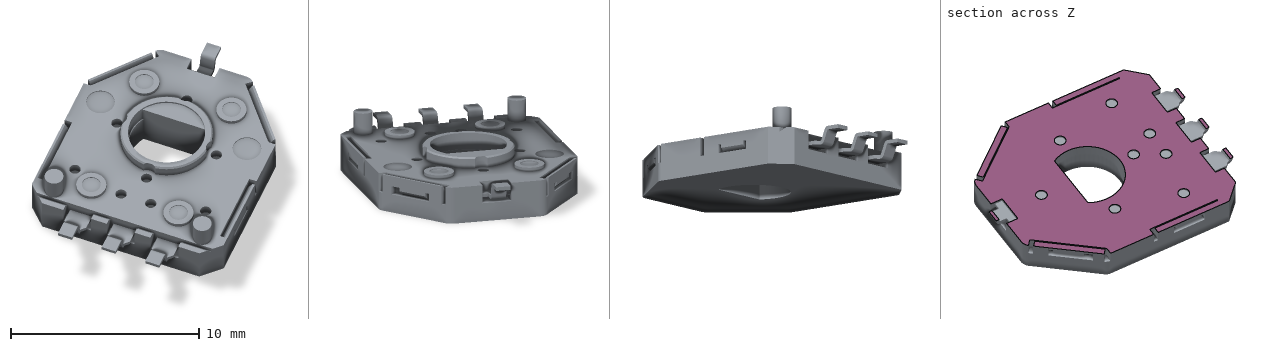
import cadquery as cq
import math


HALF_WIDTH = 5.5
REAR_Y = 5.5
FRONT_Y = -6.5
BODY_HEIGHT = 2.0
FRONT_CHAMFER = 1.0
REAR_CORNER = (2.63, REAR_Y)
SIDE_CORNER = (HALF_WIDTH, 2.0)
REAR_CORNER_RADIUS = 0.6
SIDE_CORNER_RADIUS = 0.5
CUT_MARGIN = 1.0

GROOVE_WALL_Y = -5.95
GROOVE_DEPTH = 0.25

COLLAR_RADIUS = 2.45
COLLAR_TOP = 2.6
COLLAR_CHAMFER = 0.08
COLLAR_BORE_RADIUS = 2.05
ROTOR_BORE_RADIUS = 2.0
ROTOR_STEP_Z = 1.7
FLAT_Y = 1.0
FLAT_TOP = 2.5

SMALL_HOLE_RADIUS = 0.3
SMALL_HOLE_DEPTH = 0.5
COLLAR_HOLE_OFFSET = 2.85
COLLAR_RELIEF_RADIUS = 0.55
OUTER_HOLE = (3.75, -3.72)
INNER_HOLE = (0.85, -4.35)
DISC_X = 2.5
DISC_YS = (3.0, -4.5)
DISC_RADIUS = 0.8
DISC_HEIGHT = 0.2
DISC_DIMPLE_RADIUS = 0.5
DIMPLE_DEPTH = 0.05
ROUND_DIMPLE = (4.2, 1.0)
ROUND_DIMPLE_RADIUS = 0.76
PIN = (4.25, -5.45)
PIN_RADIUS = 0.5
PIN_TOP = 3.2

TERMINAL_PITCH = 2.5
POCKET_WIDTH = 1.6
POCKET_FLOOR = 1.0
REAR_POCKET_Y = 4.8
SHEET = 0.2
LEAD_WIDTH = 0.8
SHOULDER_WIDTH = 1.25
LEAD_LOW_Z = 1.25
LEAD_HIGH_Z = 2.0
LEAD_EMBED = 0.2
OUTER_BEND_RADIUS = 0.24
INNER_BEND_RADIUS = OUTER_BEND_RADIUS - SHEET
FRONT_TIP_Y = -8.2
FRONT_SHOULDER_END_Y = -6.75
FRONT_RISE_START_Y = -7.03
FRONT_RISE_END_Y = -7.34
REAR_TIP_Y = 6.7
REAR_SHOULDER_END_Y = 5.22
REAR_RISE_START_Y = 5.64
REAR_RISE_END_Y = 5.82

SPRING_THICKNESS = 0.13
CHANNEL_DEPTH = 0.42
CHANNEL_DROP = 0.45
SLIT_FLOOR = 1.0
SLIT = 0.25
WINDOW_TOP = 1.45
WINDOW_DEPTH = 0.35
TONGUE_LOW_DEPTH = 0.28
TONGUE_EDGE_Z = 1.26
SIDE_SPRING_START_Y = -0.85
SIDE_SPRING_LENGTH = 3.9
SIDE_WINDOW_START = 1.25
SIDE_WINDOW_LENGTH = 1.9
SIDE_JAMB = 0.2
SIDE_WINDOW_UNDERCUT = 0.0
CORNER_SPRING_OFFSET = 0.26
CORNER_SPRING_LENGTH = 3.82
CORNER_WINDOW_START = 1.08
CORNER_WINDOW_LENGTH = 2.4
CORNER_UPPER_JAMB = 0.25
CORNER_LOWER_JAMB = 0.5
CORNER_WINDOW_UNDERCUT = 0.28
CORNER_SLIT_END_Y = 1.84


def box(x0, x1, y0, y1, z0, z1):
    """Axis-aligned box between the given limits."""
    return cq.Workplane("XY").box(x1 - x0, y1 - y0, z1 - z0, centered=False).translate((x0, y0, z0))


def cylinders(points, radius, z0, z1):
    """Equal upright cylinders standing at the given points."""
    return cq.Workplane("XY").workplane(offset=z0).pushPoints(points).circle(radius).extrude(z1 - z0)


def both_sides(x, y):
    return [(-x, y), (x, y)]


def mirrored_pair(solid):
    return solid.union(solid.mirror("YZ"))


def housing():
    chamfer_x = HALF_WIDTH - FRONT_CHAMFER
    chamfer_y = FRONT_Y + FRONT_CHAMFER
    right_side = [(chamfer_x, FRONT_Y), (HALF_WIDTH, chamfer_y), SIDE_CORNER, REAR_CORNER]
    left_side = [(-x, y) for x, y in reversed(right_side)]
    body = cq.Workplane("XY").polyline(right_side + left_side).close().extrude(BODY_HEIGHT)
    for (x, y), radius in ((REAR_CORNER, REAR_CORNER_RADIUS), (SIDE_CORNER, SIDE_CORNER_RADIUS)):
        for px, py in both_sides(x, y):
            nearest = cq.selectors.NearestToPointSelector((px, py, BODY_HEIGHT / 2))
            body = body.edges("|Z").edges(nearest).fillet(radius)
    return body


def front_groove():
    """Groove with an upright rear wall and a 45 degree front flank."""
    return (
        cq.Workplane("YZ")
        .moveTo(GROOVE_WALL_Y, BODY_HEIGHT)
        .lineTo(GROOVE_WALL_Y, BODY_HEIGHT - GROOVE_DEPTH)
        .lineTo(GROOVE_WALL_Y - GROOVE_DEPTH, BODY_HEIGHT)
        .close()
        .extrude(HALF_WIDTH, both=True)
    )


def spring_cuts(
    start, direction, length, window_start, window_length, first_jamb, last_jamb, undercut,
):
    """Slit, channel and window of one spring wall.

    The slit begins at start on the outer wall; distances run along direction, depths run inward.
    The jambs are the gaps left open beside the tongue; the first end of the window leans behind
    the wall by the undercut.
    """
    plane = cq.Plane(origin=(start[0], start[1], 0), xDir=(direction[0], direction[1], 0), normal=(0, 0, 1))
    wall = cq.Location(plane)

    slit = box(0, SLIT, -CUT_MARGIN, CHANNEL_DEPTH, SLIT_FLOOR, BODY_HEIGHT).val().moved(wall)
    window_end = window_start + window_length
    window = (
        cq.Workplane("XY", origin=(0, 0, SLIT_FLOOR))
        .polyline([
            (window_start, 0),
            (window_end, 0),
            (window_end, WINDOW_DEPTH),
            (window_start - undercut, WINDOW_DEPTH),
        ])
        .close()
        .extrude(WINDOW_TOP - SLIT_FLOOR)
        .val()
        .moved(wall)
    )

    def local_prism(s0, s1, section):
        prism = cq.Workplane("YZ", origin=(s0, 0, 0)).polyline(section).close().extrude(s1 - s0)
        return prism.val().moved(wall)

    channel = local_prism(SLIT, SLIT + length, [
        (SPRING_THICKNESS, BODY_HEIGHT),
        (CHANNEL_DEPTH, BODY_HEIGHT),
        (CHANNEL_DEPTH, BODY_HEIGHT - CHANNEL_DROP),
    ])
    tongue = local_prism(window_start + first_jamb, window_end - last_jamb, [
        (0, TONGUE_EDGE_Z),
        (0, WINDOW_TOP),
        (WINDOW_DEPTH, WINDOW_TOP),
        (WINDOW_DEPTH, SLIT_FLOOR),
        (TONGUE_LOW_DEPTH, SLIT_FLOOR),
    ])
    window_opening = cq.Workplane(window).cut(cq.Workplane(tongue))
    return window_opening.union(cq.Workplane(slit)).union(cq.Workplane(channel))


def side_spring_cuts():
    return spring_cuts(
        (-HALF_WIDTH, SIDE_SPRING_START_Y), (0, -1),
        SIDE_SPRING_LENGTH, SIDE_WINDOW_START, SIDE_WINDOW_LENGTH,
        SIDE_JAMB, SIDE_JAMB, SIDE_WINDOW_UNDERCUT,
    )


def corner_spring_cuts():
    run_x = REAR_CORNER[0] - SIDE_CORNER[0]
    run_y = SIDE_CORNER[1] - REAR_CORNER[1]
    run = math.hypot(run_x, run_y)
    direction = (run_x / run, run_y / run)
    start = (
        -REAR_CORNER[0] + CORNER_SPRING_OFFSET * direction[0],
        REAR_CORNER[1] + CORNER_SPRING_OFFSET * direction[1],
    )
    cuts = spring_cuts(
        start, direction,
        CORNER_SPRING_LENGTH, CORNER_WINDOW_START, CORNER_WINDOW_LENGTH,
        CORNER_UPPER_JAMB, CORNER_LOWER_JAMB, CORNER_WINDOW_UNDERCUT,
    )

    angle = math.degrees(math.atan2(direction[1], direction[0]))
    slit_start = SLIT + CORNER_SPRING_LENGTH
    end_slit = (
        box(slit_start, slit_start + CUT_MARGIN, -CUT_MARGIN, CHANNEL_DEPTH, SLIT_FLOOR, BODY_HEIGHT)
        .rotate((0, 0, 0), (0, 0, 1), angle)
        .translate((start[0], start[1], 0))
    )
    corner_limit = box(
        -HALF_WIDTH - CUT_MARGIN, -HALF_WIDTH + CHANNEL_DEPTH,
        CORNER_SLIT_END_Y, REAR_Y, 0, BODY_HEIGHT,
    )
    return cuts.union(end_slit.intersect(corner_limit))


def collar_hole_points():
    offset = COLLAR_HOLE_OFFSET
    return [(offset, 0), (0, offset), (-offset, 0), (0, -offset)]


def collar():
    ring = cq.Workplane("XY").circle(COLLAR_RADIUS).extrude(COLLAR_TOP).faces(">Z").chamfer(COLLAR_CHAMFER)
    return ring.cut(cylinders(collar_hole_points(), COLLAR_RELIEF_RADIUS, BODY_HEIGHT, COLLAR_TOP))


def bore():
    """Round bore with a small step, less the segment that forms the D flat."""
    upper = cylinders([(0, 0)], COLLAR_BORE_RADIUS, ROTOR_STEP_Z, COLLAR_TOP)
    lower = cylinders([(0, 0)], ROTOR_BORE_RADIUS, 0, ROTOR_STEP_Z)
    flat = box(-COLLAR_RADIUS, COLLAR_RADIUS, FLAT_Y, COLLAR_RADIUS, 0, FLAT_TOP)
    return upper.union(lower).cut(flat)


def small_holes():
    points = collar_hole_points() + both_sides(*OUTER_HOLE) + both_sides(*INNER_HOLE)
    return cylinders(points, SMALL_HOLE_RADIUS, BODY_HEIGHT - SMALL_HOLE_DEPTH, BODY_HEIGHT)


def add_discs_and_pins(body):
    disc_points = [point for y in DISC_YS for point in both_sides(DISC_X, y)]
    disc_top = BODY_HEIGHT + DISC_HEIGHT
    body = body.union(cylinders(disc_points, DISC_RADIUS, 0, disc_top))
    body = body.cut(cylinders(disc_points, DISC_DIMPLE_RADIUS, disc_top - DIMPLE_DEPTH, disc_top))
    dimple_floor = BODY_HEIGHT - DIMPLE_DEPTH
    dimples = cylinders(both_sides(*ROUND_DIMPLE), ROUND_DIMPLE_RADIUS, dimple_floor, BODY_HEIGHT)
    return body.cut(dimples).union(cylinders(both_sides(*PIN), PIN_RADIUS, 0, PIN_TOP))


def lead(root_y, rise_start_y, rise_end_y, tip_y):
    """Bent strip of constant width, from its low root up to its raised tip."""
    low_top = LEAD_LOW_Z + SHEET
    high_top = LEAD_HIGH_Z + SHEET
    run = abs(rise_end_y - rise_start_y)
    rise = LEAD_HIGH_Z - LEAD_LOW_Z
    shift = math.copysign(SHEET * (math.hypot(run, rise) - run) / rise, tip_y)
    outline = [
        (root_y, low_top),
        (rise_start_y, low_top),
        (rise_end_y, high_top),
        (tip_y, high_top),
        (tip_y, LEAD_HIGH_Z),
        (rise_end_y + shift, LEAD_HIGH_Z),
        (rise_start_y + shift, LEAD_LOW_Z),
        (root_y, LEAD_LOW_Z),
    ]
    strip = cq.Workplane("YZ").polyline(outline).close().extrude(LEAD_WIDTH / 2, both=True)
    bends = (
        (outline[1], INNER_BEND_RADIUS),
        (outline[2], OUTER_BEND_RADIUS),
        (outline[5], INNER_BEND_RADIUS),
        (outline[6], OUTER_BEND_RADIUS),
    )
    for (y, z), radius in bends:
        nearest = cq.selectors.NearestToPointSelector((0, y, z))
        strip = strip.edges("|X").edges(nearest).fillet(radius)
    return strip


def front_terminal():
    root_y = GROOVE_WALL_Y + LEAD_EMBED
    half_shoulder = SHOULDER_WIDTH / 2
    half_lead = LEAD_WIDTH / 2
    taper_end_y = FRONT_SHOULDER_END_Y - (half_shoulder - half_lead)
    shoulder = (
        cq.Workplane("XY", origin=(0, 0, LEAD_LOW_Z))
        .polyline([
            (-half_shoulder, root_y),
            (half_shoulder, root_y),
            (half_shoulder, FRONT_SHOULDER_END_Y),
            (half_lead, taper_end_y),
            (-half_lead, taper_end_y),
            (-half_shoulder, FRONT_SHOULDER_END_Y),
        ])
        .close()
        .extrude(SHEET)
    )
    return shoulder.union(lead(root_y, FRONT_RISE_START_Y, FRONT_RISE_END_Y, FRONT_TIP_Y))


def rear_terminal():
    root_y = REAR_POCKET_Y - LEAD_EMBED
    half_pocket = POCKET_WIDTH / 2
    shoulder = box(-half_pocket, half_pocket, root_y, REAR_SHOULDER_END_Y, LEAD_LOW_Z, LEAD_LOW_Z + SHEET)
    return shoulder.union(lead(root_y, REAR_RISE_START_Y, REAR_RISE_END_Y, REAR_TIP_Y))


def add_terminals(body):
    half_pocket = POCKET_WIDTH / 2
    front_pocket = box(-half_pocket, half_pocket, FRONT_Y, GROOVE_WALL_Y, POCKET_FLOOR, BODY_HEIGHT)
    rear_pocket = box(-half_pocket, half_pocket, REAR_POCKET_Y, REAR_Y, POCKET_FLOOR, BODY_HEIGHT)
    for x in (-TERMINAL_PITCH, 0, TERMINAL_PITCH):
        body = body.cut(front_pocket.translate((x, 0, 0)))
        body = body.union(front_terminal().translate((x, 0, 0)))
    return body.cut(rear_pocket).union(rear_terminal())


part = housing().cut(front_groove())
part = part.cut(mirrored_pair(side_spring_cuts())).cut(mirrored_pair(corner_spring_cuts()))
part = part.union(collar()).cut(bore()).cut(small_holes())
part = add_discs_and_pins(part)
result = add_terminals(part)